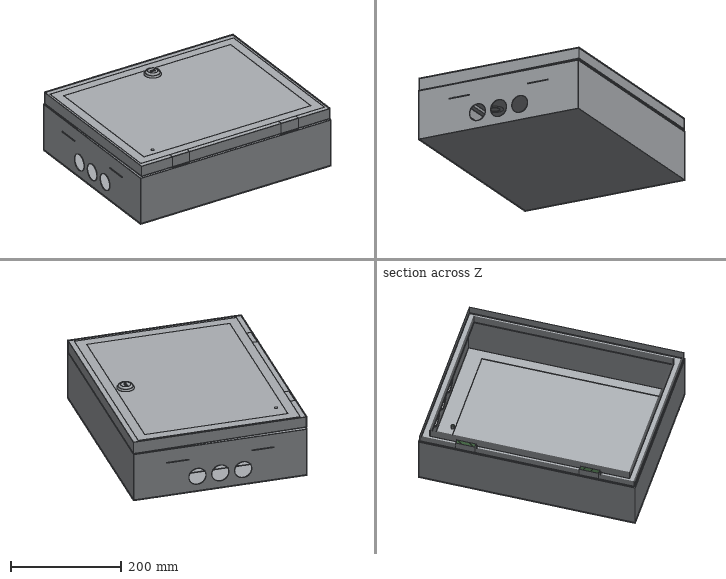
import cadquery as cq

width = 330.0
length = 410.0
box_height = 95.6
door_top = 120.0
overall_height = 126.8
sheet = 1.0

entry_diameter = 32.5
entry_pitch = 43.5
entry_z = 31.0
slit_length = 42.0
slit_height = 1.0
slit_x = 81.0
slit_z = 68.0

door_length = 406.0
door_gap_lock_side = 0.2
door_gap_hinge_side = 3.1
door_underside = door_top - sheet

gasket_inset_x = 11.0
gasket_inset_y = 5.5
gasket_width = 18.0
gasket_thickness = 6.0
lip_top = door_underside - gasket_thickness
lip_offset = (gasket_width - sheet) / 2

hinge_length = 37.0
hinge_y = 117.0
hinge_foot_height = 2.0
hinge_leaf_thickness = 9.0
hinge_inner_x = width / 2 - gasket_inset_x - lip_offset
leaf_inner_x = width / 2 - gasket_inset_x
leaf_outer_x = leaf_inner_x + hinge_leaf_thickness

lock_x = -117.2
lock_base_diameter = 32.0
lock_shoulder_diameter = 27.5
lock_core_diameter = 18.5
lock_shoulder_height = 3.5
lock_slot_length = 10.0
lock_slot_width = 3.5
lock_slot_depth = 4.0
lock_pin_diameter = 2.0

plate_top = 20.0
plate_clearance = 35.0

stud_diameter = 6.0
stud_length = 15.0
stud_x = 122.0
stud_y = -152.0


def block(size_x, size_y, bottom, top):
    """Block centred on the Z axis between two heights."""
    return cq.Workplane("XY", origin=(0, 0, bottom)).rect(size_x, size_y).extrude(top - bottom)


def disc(diameter, bottom, top, x=0.0, y=0.0):
    """Upright cylinder between two heights."""
    return cq.Workplane("XY", origin=(x, y, bottom)).circle(diameter / 2).extrude(top - bottom)


def inset_block(inset, bottom, top):
    """Block set in equally from all four sides of the box."""
    return block(width - 2 * inset, length - 2 * inset, bottom, top)


def gasket_block(offset, bottom, top):
    """Block set in equally from the outer edge of the gasket."""
    size_x = width - 2 * (gasket_inset_x + offset)
    size_y = door_length - 2 * (gasket_inset_y + offset)
    return block(size_x, size_y, bottom, top)


def make_box():
    rim_underside = box_height - sheet
    body = inset_block(0, 0, box_height).union(gasket_block(lip_offset, box_height, lip_top))
    body = body.cut(inset_block(sheet, sheet, rim_underside))
    body = body.cut(gasket_block(lip_offset + sheet, rim_underside, lip_top))
    wall = cq.Workplane("XZ", origin=(0, -length / 2 + sheet, 0))
    entry_points = [(i * entry_pitch, entry_z) for i in (-1, 0, 1)]
    slit_points = [(side * slit_x, slit_z) for side in (-1, 1)]
    entries = wall.pushPoints(entry_points).circle(entry_diameter / 2).extrude(sheet)
    slits = wall.pushPoints(slit_points).rect(slit_length, slit_height).extrude(sheet)
    return body.cut(entries).cut(slits)


def make_door():
    profile = [
        (-width / 2, box_height + door_gap_lock_side),
        (width / 2, box_height + door_gap_hinge_side),
        (width / 2, door_top),
        (-width / 2, door_top),
    ]
    end_plane = cq.Workplane("XZ", origin=(0, door_length / 2, 0))
    outer = end_plane.polyline(profile).close().extrude(door_length)
    hollow = block(width - 2 * sheet, door_length - 2 * sheet, box_height, door_underside)
    lock_hole = disc(lock_core_diameter, door_underside, door_top, lock_x)
    return outer.cut(hollow).cut(lock_hole)


def make_gasket():
    outer = gasket_block(0, lip_top, door_underside)
    return outer.cut(gasket_block(gasket_width, lip_top, door_underside))


def make_hinge(y):
    profile = [
        (hinge_inner_x, box_height),
        (leaf_outer_x, box_height),
        (leaf_outer_x, door_underside),
        (leaf_inner_x, door_underside),
        (leaf_inner_x, box_height + hinge_foot_height),
        (hinge_inner_x, box_height + hinge_foot_height),
    ]
    end_plane = cq.Workplane("XZ", origin=(0, y + hinge_length / 2, 0))
    return end_plane.polyline(profile).close().extrude(hinge_length)


def make_mounting_plate():
    return inset_block(sheet + plate_clearance, plate_top - sheet, plate_top)


def make_stud():
    return disc(stud_diameter, door_underside - stud_length, door_underside, stud_x, stud_y)


def make_lock_housing():
    core_radius = lock_core_diameter / 2
    shoulder_radius = lock_shoulder_diameter / 2
    shoulder_z = door_top + lock_shoulder_height
    flange = (
        cq.Workplane("XZ")
        .moveTo(core_radius, door_top)
        .lineTo(lock_base_diameter / 2, door_top)
        .lineTo(shoulder_radius, shoulder_z)
        .ellipseArc(shoulder_radius - core_radius, overall_height - shoulder_z, 0, 90)
        .close()
        .revolve(360, (0, 0, 0), (0, 1, 0))
    )
    return flange.translate((lock_x, 0, 0))


def make_lock_core():
    core = disc(lock_core_diameter, door_underside, overall_height, lock_x)
    slot_floor = overall_height - lock_slot_depth
    slot = block(lock_slot_width, lock_slot_length, slot_floor, overall_height).translate((lock_x, 0, 0))
    pin = disc(lock_pin_diameter, slot_floor, overall_height, lock_x)
    return core.cut(slot).union(pin)


box = make_box()
door = make_door()
gasket = make_gasket()
hinges = [make_hinge(side * hinge_y) for side in (-1, 1)]
mounting_plate = make_mounting_plate()
stud = make_stud()
lock_housing = make_lock_housing()
lock_core = make_lock_core()

result = cq.Compound.makeCompound([
    box.val(),
    door.val(),
    gasket.val(),
    *[hinge.val() for hinge in hinges],
    mounting_plate.val(),
    stud.val(),
    lock_housing.val(),
    lock_core.val(),
])